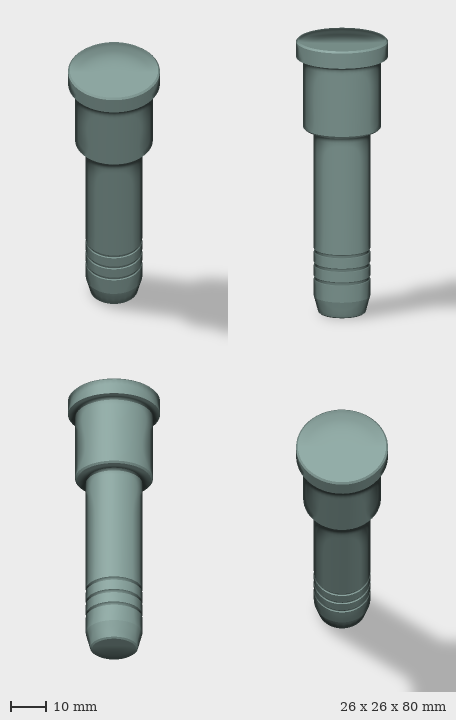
import cadquery as cq
import math

total_length = 80.0
head_height = 5.0
collar_bottom = 54.0
tip_height = 5.0

head_radius = 26.0 / 2
collar_radius = 22.0 / 2
shank_radius = 16.0 / 2
tip_angle = math.radians(15)
tip_radius = shank_radius - tip_height * math.tan(tip_angle)

edge_chamfer = 0.5
tip_chamfer = 0.4

groove_depth = 0.5
shank_groove_pitch = 4.0
shank_groove_count = 3
lowest_groove_center = 10.5

neck_height = 1.0
neck_end_radius = 7.7
neck_waist_radius = 7.4


def cylinder(radius, bottom, top):
    return cq.Workplane("XY").workplane(offset=bottom).circle(radius).extrude(top - bottom)


def groove(surface_radius, center_height):
    """Ring to cut: a quarter-round upper corner above a straight floor and square lower wall."""
    floor_radius = surface_radius - groove_depth
    groove_bottom = center_height - groove_depth
    return (
        cq.Workplane("XZ")
        .moveTo(surface_radius, center_height + groove_depth)
        .radiusArc((floor_radius, center_height), -groove_depth)
        .lineTo(floor_radius, groove_bottom)
        .lineTo(surface_radius, groove_bottom)
        .close()
        .revolve(360, (0, 0), (0, 1))
    )


head_bottom = total_length - head_height
head = cylinder(head_radius, head_bottom, total_length).faces(">Z").chamfer(edge_chamfer)

collar = cylinder(collar_radius, collar_bottom, head_bottom).faces("<Z").chamfer(edge_chamfer)
collar = collar.cut(groove(collar_radius, head_bottom - groove_depth))

neck_bottom = collar_bottom - neck_height
neck = (
    cq.Workplane("XZ")
    .moveTo(0, neck_bottom)
    .lineTo(neck_end_radius, neck_bottom)
    .threePointArc(
        (neck_waist_radius, neck_bottom + neck_height / 2),
        (neck_end_radius, collar_bottom),
    )
    .lineTo(0, collar_bottom)
    .close()
    .revolve(360, (0, 0), (0, 1))
)

shank = cylinder(shank_radius, tip_height, neck_bottom)
for index in range(shank_groove_count):
    center_height = lowest_groove_center + index * shank_groove_pitch
    shank = shank.cut(groove(shank_radius, center_height))

tip = (
    cq.Workplane("XY")
    .circle(tip_radius)
    .workplane(offset=tip_height)
    .circle(shank_radius)
    .loft(ruled=True)
    .faces("<Z")
    .chamfer(tip_chamfer)
)

result = head.union(collar).union(neck).union(shank).union(tip)